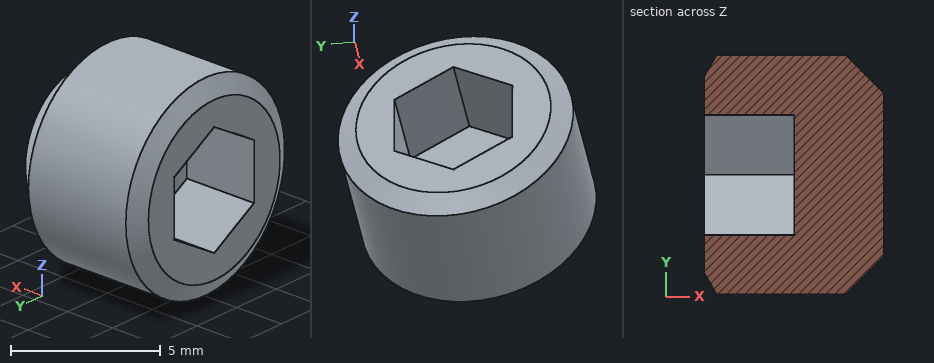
import cadquery as cq
import math

length = 6.0
outer_radius = 4.0

socket_face_radius = 3.31
socket_chamfer_angle = 30.0
socket_chamfer_length = (outer_radius - socket_face_radius) * math.tan(math.radians(socket_chamfer_angle))

point_face_radius = 2.75
point_chamfer_length = outer_radius - point_face_radius

hex_sides = 6
hex_across_flats = 4.0
hex_across_corners = hex_across_flats / math.cos(math.pi / hex_sides)
socket_depth = 3.0


def make_body():
    """Cylinder with a chamfer at each end, revolved about the X axis."""
    return (
        cq.Workplane("XY")
        .moveTo(0, 0)
        .lineTo(0, socket_face_radius)
        .lineTo(socket_chamfer_length, outer_radius)
        .lineTo(length - point_chamfer_length, outer_radius)
        .lineTo(length, point_face_radius)
        .lineTo(length, 0)
        .close()
        .revolve(360, (0, 0, 0), (1, 0, 0))
    )


def make_socket():
    """Hexagonal prism from the socket end face, flats facing +Y and -Y."""
    prism = cq.Workplane("YZ").polygon(hex_sides, hex_across_corners).extrude(socket_depth)
    return prism.rotate((0, 0, 0), (1, 0, 0), 90)


result = make_body().cut(make_socket())